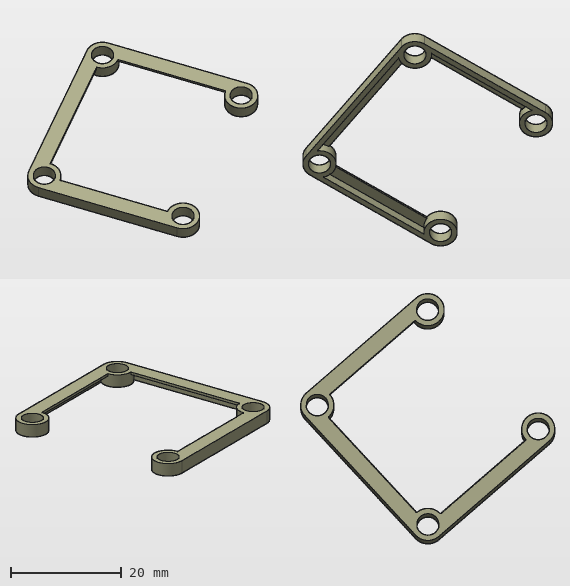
import cadquery as cq

length_x = 32.8
length_y = 36.0
thickness = 2.5
boss_diameter = 6.0
hole_diameter = 4.0
web_thickness = 0.5

bar_width = boss_diameter / 2
hole_x = length_x / 2 - bar_width
hole_y = length_y / 2 - bar_width
hole_centres = [(x, y) for x in (-hole_x, hole_x) for y in (-hole_y, hole_y)]

wall_thickness = (boss_diameter - hole_diameter) / 2


def angle_bar(length):
    """L-section bar along X: thin web on top, full-height wall on its +Y edge.

    The inner edge of the web lies on the X axis and the bar is centred on X = 0.
    """
    wall_inner = bar_width - wall_thickness
    web_bottom = thickness - web_thickness
    section = [
        (0, thickness),
        (bar_width, thickness),
        (bar_width, 0),
        (wall_inner, 0),
        (wall_inner, web_bottom),
        (0, web_bottom),
    ]
    return cq.Workplane("YZ").polyline(section).close().extrude(length / 2, both=True)


def turned(bar, angle):
    """Bar turned about the Z axis by an angle in degrees."""
    return bar.rotate((0, 0, 0), (0, 0, 1), angle)


frame = cq.Workplane("XY").pushPoints(hole_centres).circle(boss_diameter / 2).extrude(thickness)

long_bar = angle_bar(2 * hole_y)
short_bar = angle_bar(2 * hole_x)
frame = frame.union(turned(long_bar, 90).translate((-hole_x, 0, 0)))
frame = frame.union(short_bar.translate((0, hole_y, 0)))
frame = frame.union(turned(short_bar, 180).translate((0, -hole_y, 0)))

holes = cq.Workplane("XY").pushPoints(hole_centres).circle(hole_diameter / 2).extrude(thickness)
result = frame.cut(holes)